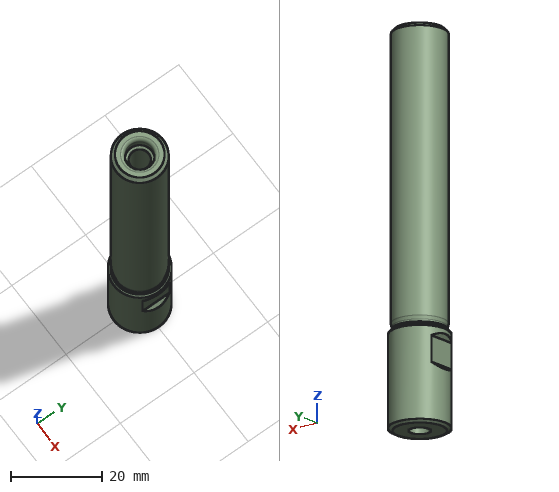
import cadquery as cq

length = 92.0

collar_radius = 14.0 / 2
foot_radius = 12.0 / 2
foot_chamfer_height = 0.55
collar_top = 22.1
shoulder_chamfer = 0.55

groove_radius = 12.3 / 2
groove_bottom = 23.2
groove_width = 0.55
groove_top = 24.6

shaft_radius = 12.7 / 2
tip_chamfer = 0.9

through_radius = 4.9 / 2
counterbore_radius = 6.5 / 2
counterbore_depth = 2.9
step_depth = 3.4
mouth_rounding = 0.9

flat_distance = 12.0
flat_bottom = 13.8
flat_top = 19.9


def make_body():
    """Revolved outer profile, drawn as (radius, height)."""
    profile = [
        (0, 0),
        (foot_radius, 0),
        (collar_radius, foot_chamfer_height),
        (collar_radius, collar_top),
        (collar_radius - shoulder_chamfer, collar_top + shoulder_chamfer),
        (groove_radius, groove_bottom),
        (groove_radius, groove_bottom + groove_width),
        (shaft_radius, groove_top),
        (shaft_radius, length - tip_chamfer),
        (shaft_radius - tip_chamfer, length),
        (0, length),
    ]
    return cq.Workplane("XZ").polyline(profile).close().revolve(360, (0, 0), (0, 1))


def make_bore():
    """Through bore with a counterbore at the top, its mouth rounded out to the end face."""
    mouth_radius = counterbore_radius + mouth_rounding
    return (
        cq.Workplane("XZ")
        .moveTo(0, 0)
        .lineTo(through_radius, 0)
        .lineTo(through_radius, length - step_depth)
        .lineTo(counterbore_radius, length - counterbore_depth)
        .lineTo(counterbore_radius, length - mouth_rounding)
        .radiusArc((mouth_radius, length), mouth_rounding)
        .lineTo(0, length)
        .close()
        .revolve(360, (0, 0), (0, 1))
    )


def make_flat_cutter(side):
    """Wrench-flat cutter with 45 degree end walls; side is -1 or +1 along X."""
    inner = flat_distance / 2
    depth = collar_radius - inner
    profile = [
        (side * inner, flat_bottom),
        (side * collar_radius, flat_bottom - depth),
        (side * collar_radius, flat_top + depth),
        (side * inner, flat_top),
    ]
    return cq.Workplane("XZ").polyline(profile).close().extrude(collar_radius, both=True)


result = make_body().cut(make_bore())
for side in (-1, 1):
    result = result.cut(make_flat_cutter(side))